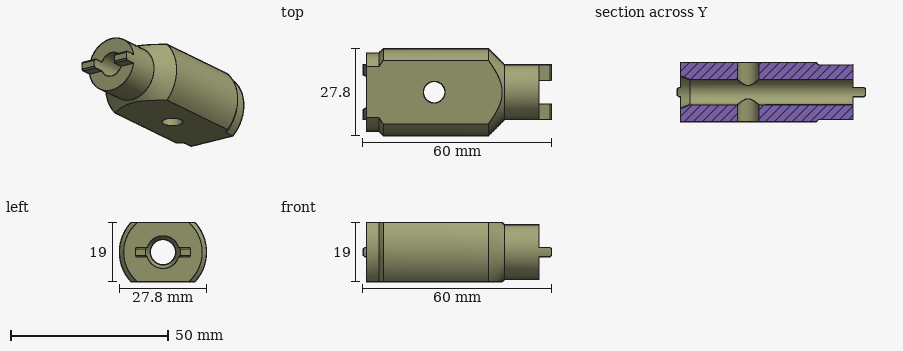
import cadquery as cq

rear_step_length = 4.0
cross_hole_x = 21.6
neck_start = 44.0
neck_end = 55.0

barrel_radius = 13.9
rear_step_radius = 12.5
neck_radius = 17.5 / 2
bore_radius = 8.0 / 2
cross_hole_diameter = 6.8
flat_distance = 19.0

mouth_radius = 5.2
lead_in_depth = 3.0

rear_tab_length = 1.0
front_tab_length = 4.0
tab_thickness = 3.0
tab_chamfer = 0.5

barrel_start = rear_step_length + barrel_radius - rear_step_radius
barrel_end = neck_start - (barrel_radius - neck_radius)
tab_start_x = -rear_tab_length
tab_end_x = neck_end + front_tab_length


def make_turned_blank():
    """Turned blank with a rear step, a neck and a stub at each end for the tabs."""
    return (
        cq.Workplane("XY")
        .moveTo(tab_start_x, 0)
        .lineTo(tab_start_x, neck_radius)
        .lineTo(0, neck_radius)
        .lineTo(0, rear_step_radius)
        .lineTo(rear_step_length, rear_step_radius)
        .lineTo(barrel_start, barrel_radius)
        .lineTo(barrel_end, barrel_radius)
        .lineTo(neck_start, neck_radius)
        .lineTo(tab_end_x, neck_radius)
        .lineTo(tab_end_x, 0)
        .close()
        .revolve(360, (0, 0, 0), (1, 0, 0))
    )


def make_side_envelope():
    """Outline of the part along Y: the two flats, and a thin chamfered bar past each end."""
    width = 2 * barrel_radius
    between_flats = cq.Workplane("XY").box(neck_end, width, flat_distance, centered=(False, True, True))
    tab_bar = (
        cq.Workplane("XY", origin=(tab_start_x, 0, 0))
        .box(tab_end_x - tab_start_x, width, tab_thickness, centered=(False, True, True))
        .edges("|Y")
        .chamfer(tab_chamfer)
    )
    return between_flats.union(tab_bar)


def make_bore():
    """Through bore along X with a conical lead-in that also trims the rear tabs."""
    slope = (mouth_radius - bore_radius) / lead_in_depth
    outer_radius = mouth_radius + rear_tab_length * slope
    return (
        cq.Workplane("XY")
        .moveTo(tab_start_x, 0)
        .lineTo(tab_start_x, outer_radius)
        .lineTo(lead_in_depth, bore_radius)
        .lineTo(tab_end_x, bore_radius)
        .lineTo(tab_end_x, 0)
        .close()
        .revolve(360, (0, 0, 0), (1, 0, 0))
    )


def make_cross_hole():
    """Hole along Z through both flats."""
    return (
        cq.Workplane("XY", origin=(cross_hole_x, 0, -flat_distance / 2))
        .circle(cross_hole_diameter / 2)
        .extrude(flat_distance)
    )


body = make_turned_blank().intersect(make_side_envelope())
result = body.cut(make_bore()).cut(make_cross_hole())